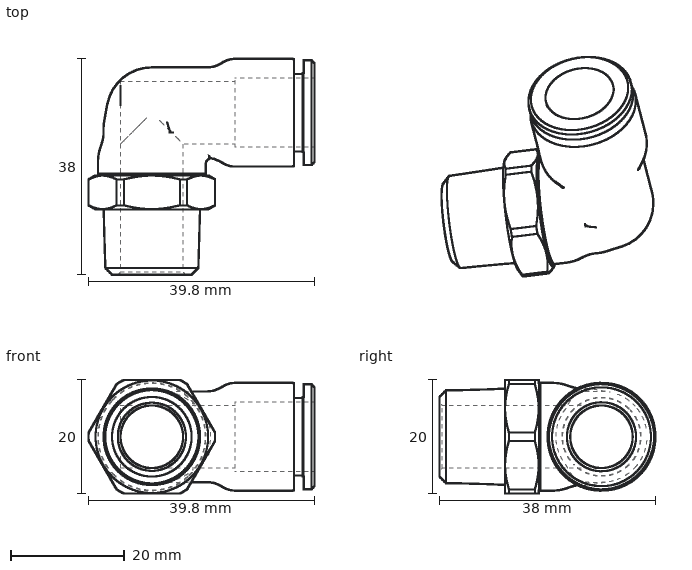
import cadquery as cq
import math


STUD_END_Y = -28.5
STUD_CHAMFER = 1.2
STUD_ROOT_RADIUS = 8.5
STUD_TIP_RADIUS = 8.2
STUD_BORE_DIAMETER = 11.0
STUD_MOUTH_DIAMETER = 12.0
STUD_MOUTH_DEPTH = 0.5

HEX_ACROSS_FLATS = 20.0
HEX_CORNER_DIAMETER = 22.3
HEX_FACE_DIAMETER = 19.8
HEX_CHAMFER_ANGLE = 30.0
HEX_LOWER_Y = -17.0
HEX_UPPER_Y = -11.0

ELBOW_RADIUS = 8.0
ELBOW_CONE_START_Y = 1.44
ELBOW_CONE_END_Y = -1.42
ELBOW_NECK_START_Y = -3.2
ELBOW_NECK_END_Y = -3.45
ELBOW_NECK_RADIUS = 8.5
ELBOW_SKIRT_Y = -8.57
ELBOW_RIM_CHAMFER = 0.3
ELBOW_RIM_DROP = 0.1
ELBOW_FLARE_ANGLE = 20.0
ELBOW_FLARE_HOLLOW_RADIUS = 6.4
ELBOW_FLARE_CROWN_RADIUS = 7.3

ARM_FLAT_DEPTH = 2.25
ARM_CORNER_RADIUS = 4.0
ARM_CREASE_RADIUS = 3.0
ARM_BLEND_RADIUS = 1.0

SOCKET_DIAMETER = 19.0
SOCKET_START_X = 14.64
SOCKET_END_X = 25.0
SOCKET_RIM_CHAMFER = 0.3
SOCKET_RIM_DROP = 0.08
SOCKET_FLARE_ANGLE = 30.0
SOCKET_FLARE_RADIUS = 4.0
TUBE_BORE_DIAMETER = 12.15

COLLET_NECK_DIAMETER = 13.7
COLLET_STEP_DIAMETER = 13.9
COLLET_STEP_X = 26.45
COLLET_FLANGE_DIAMETER = 18.5
COLLET_FLANGE_X = 26.7
COLLET_END_X = 28.6
COLLET_CHAMFER = 0.55

SOCKET_RADIUS = SOCKET_DIAMETER / 2
FLOW_RADIUS = STUD_BORE_DIAMETER / 2

SELECTION_MARGIN = 0.1


def flare_points(low_radius, high_radius, hollow_radius, crown_radius, angle_degrees):
    """Smooth flare, as (distance before its wide end, radius): three-point hollow arc,
    straight cone, three-point crown arc. Both arcs end parallel to the axis."""
    angle = math.radians(angle_degrees)

    def hollow(turn):
        return hollow_radius * math.sin(turn), low_radius + hollow_radius * (1 - math.cos(turn))

    def crown(turn):
        return crown_radius * math.sin(turn), high_radius - crown_radius * (1 - math.cos(turn))

    cone_rise = crown(angle)[1] - hollow(angle)[1]
    length = hollow(angle)[0] + cone_rise / math.tan(angle) + crown(angle)[0]

    def from_wide_end(point):
        return length - point[0], point[1]

    return {
        "start": (length, low_radius),
        "hollow_mid": from_wide_end(hollow(angle / 2)),
        "hollow_end": from_wide_end(hollow(angle)),
        "crown_start": crown(angle),
        "crown_mid": crown(angle / 2),
        "end": (0, high_radius),
    }


def revolve_about_x(profile):
    return profile.close().revolve(360, (0, 0, 0), (1, 0, 0))


def revolve_about_y(profile):
    return profile.close().revolve(360, (0, 0, 0), (0, 1, 0))


def make_elbow():
    """Spherical corner that runs through a cone and a neck into a wide skirt."""
    cone_angle = math.asin(ELBOW_CONE_START_Y / ELBOW_RADIUS)
    cone_start_radius = ELBOW_RADIUS * math.cos(cone_angle)
    cone_length = ELBOW_CONE_START_Y - ELBOW_CONE_END_Y
    cone_end_radius = cone_start_radius + cone_length * math.tan(cone_angle)
    dome_mid = ELBOW_RADIUS * math.sin(math.pi / 4)
    flare = flare_points(
        ELBOW_NECK_RADIUS, SOCKET_RADIUS,
        ELBOW_FLARE_HOLLOW_RADIUS, ELBOW_FLARE_CROWN_RADIUS, ELBOW_FLARE_ANGLE,
    )

    def flare_at(name):
        distance, radius = flare[name]
        return radius, ELBOW_SKIRT_Y + distance

    profile = (
        cq.Workplane("XY")
        .moveTo(0, ELBOW_RADIUS)
        .threePointArc((dome_mid, dome_mid), (cone_start_radius, ELBOW_CONE_START_Y))
        .lineTo(cone_end_radius, ELBOW_CONE_END_Y)
        .tangentArcPoint((ELBOW_NECK_RADIUS, ELBOW_NECK_START_Y), relative=False)
        .lineTo(*flare_at("start"))
        .threePointArc(flare_at("hollow_mid"), flare_at("hollow_end"))
        .lineTo(*flare_at("crown_start"))
        .threePointArc(flare_at("crown_mid"), flare_at("end"))
        .lineTo(SOCKET_RADIUS, HEX_UPPER_Y + ELBOW_RIM_CHAMFER)
        .lineTo(SOCKET_RADIUS - ELBOW_RIM_DROP, HEX_UPPER_Y)
        .lineTo(0, HEX_UPPER_Y)
    )
    return revolve_about_y(profile).rotate((0, 0, 0), (0, 1, 0), 180)


def make_arm():
    """Round arm with square-sided lower shoulders standing just proud of it."""
    shoulder_depth = ARM_FLAT_DEPTH + ARM_CORNER_RADIUS
    shoulders = (
        cq.Workplane("XY")
        .box(SOCKET_START_X, shoulder_depth, 2 * ELBOW_RADIUS, centered=(False, False, True))
        .translate((0, -shoulder_depth, 0))
        .edges("|X and <Y")
        .fillet(ARM_CORNER_RADIUS)
    )
    round_arm = cq.Workplane("YZ").circle(ELBOW_RADIUS).extrude(SOCKET_START_X)
    creases = cq.selectors.BoxSelector(
        (0, -ELBOW_RADIUS, -ELBOW_RADIUS),
        (SOCKET_START_X, -ARM_CORNER_RADIUS, ELBOW_RADIUS),
    )
    return round_arm.union(shoulders).edges("|X").edges(creases).fillet(ARM_CREASE_RADIUS)


def make_arm_with_socket():
    """Arm and tube socket; the coned back of the socket is blended into the arm."""
    flare_angle = math.radians(SOCKET_FLARE_ANGLE)

    def crown(turn):
        return (
            SOCKET_START_X - SOCKET_FLARE_RADIUS * math.sin(turn),
            SOCKET_RADIUS - SOCKET_FLARE_RADIUS * (1 - math.cos(turn)),
        )

    cone_end_x, cone_end_radius = crown(flare_angle)
    cone_start_x = cone_end_x - (cone_end_radius - ELBOW_RADIUS) / math.tan(flare_angle)
    profile = (
        cq.Workplane("XY")
        .moveTo(cone_start_x, 0)
        .lineTo(cone_start_x, ELBOW_RADIUS)
        .lineTo(cone_end_x, cone_end_radius)
        .threePointArc(crown(flare_angle / 2), crown(0))
        .lineTo(SOCKET_END_X - SOCKET_RIM_CHAMFER, SOCKET_RADIUS)
        .lineTo(SOCKET_END_X, SOCKET_RADIUS - SOCKET_RIM_DROP)
        .lineTo(SOCKET_END_X, 0)
    )
    junction = cq.selectors.BoxSelector(
        (cone_start_x - SELECTION_MARGIN, -SOCKET_RADIUS, -SOCKET_RADIUS),
        (cone_end_x - SELECTION_MARGIN, SOCKET_RADIUS, SOCKET_RADIUS),
    )
    joined = make_arm().union(revolve_about_x(profile))
    return joined.edges("not %LINE").edges(junction).fillet(SOCKET_FLARE_RADIUS)


def make_elbow_blend():
    """Lower part of the elbow and arm, below the neck, with a fillet where they cross."""
    block = 2 * SOCKET_END_X
    below_neck = (
        cq.Workplane("XY")
        .box(block, block, block)
        .translate((0, ELBOW_NECK_END_Y - block / 2, 0))
    )
    crossing = cq.selectors.BoxSelector(
        (0, ELBOW_SKIRT_Y, -SOCKET_RADIUS),
        (SOCKET_RADIUS, ELBOW_NECK_END_Y - SELECTION_MARGIN, SOCKET_RADIUS),
    )
    lower = make_elbow().union(make_arm()).intersect(below_neck)
    return lower.edges("%BSPLINE").edges(crossing).fillet(ARM_BLEND_RADIUS)


def make_collet():
    """Release collet: a neck with a chamfered flange at the open end."""
    neck = COLLET_NECK_DIAMETER / 2
    step = COLLET_STEP_DIAMETER / 2
    flange = COLLET_FLANGE_DIAMETER / 2
    profile = (
        cq.Workplane("XY")
        .moveTo(SOCKET_START_X, 0)
        .lineTo(SOCKET_START_X, neck)
        .lineTo(COLLET_STEP_X, neck)
        .lineTo(COLLET_STEP_X, step)
        .lineTo(COLLET_FLANGE_X, step)
        .lineTo(COLLET_FLANGE_X, flange)
        .lineTo(COLLET_END_X - COLLET_CHAMFER, flange)
        .lineTo(COLLET_END_X, flange - COLLET_CHAMFER)
        .lineTo(COLLET_END_X, 0)
    )
    return revolve_about_x(profile)


def make_hexagon():
    """Hexagon with flats facing +Z and -Z, corners turned and both ends chamfered."""
    corner = HEX_CORNER_DIAMETER / 2
    face = HEX_FACE_DIAMETER / 2
    chamfer = (corner - face) * math.tan(math.radians(HEX_CHAMFER_ANGLE))
    sharp_diameter = HEX_ACROSS_FLATS / math.cos(math.pi / 6)
    prism = (
        cq.Workplane("XZ", origin=(0, HEX_UPPER_Y, 0))
        .polygon(6, sharp_diameter)
        .extrude(HEX_UPPER_Y - HEX_LOWER_Y)
    )
    turned = revolve_about_y(
        cq.Workplane("XY")
        .moveTo(0, HEX_UPPER_Y)
        .lineTo(face, HEX_UPPER_Y)
        .lineTo(corner, HEX_UPPER_Y - chamfer)
        .lineTo(corner, HEX_LOWER_Y + chamfer)
        .lineTo(face, HEX_LOWER_Y)
        .lineTo(0, HEX_LOWER_Y)
    )
    return prism.intersect(turned)


def make_stud():
    """Tapered stud with a chamfered tip."""
    profile = (
        cq.Workplane("XY")
        .moveTo(0, HEX_LOWER_Y)
        .lineTo(STUD_ROOT_RADIUS, HEX_LOWER_Y)
        .lineTo(STUD_TIP_RADIUS, STUD_END_Y + STUD_CHAMFER)
        .lineTo(STUD_TIP_RADIUS - STUD_CHAMFER, STUD_END_Y)
        .lineTo(0, STUD_END_Y)
    )
    return revolve_about_y(profile)


def make_stud_bore():
    """Bore up to the crossing of the axes, with a countersunk mouth."""
    profile = (
        cq.Workplane("XY")
        .lineTo(FLOW_RADIUS, 0)
        .lineTo(FLOW_RADIUS, STUD_END_Y + STUD_MOUTH_DEPTH)
        .lineTo(STUD_MOUTH_DIAMETER / 2, STUD_END_Y)
        .lineTo(0, STUD_END_Y)
    )
    return revolve_about_y(profile)


def make_port_bore():
    """Tube seat from the collet end, then the flow bore to the far side of the stud bore."""
    seat_radius = TUBE_BORE_DIAMETER / 2
    profile = (
        cq.Workplane("XY")
        .moveTo(-FLOW_RADIUS, 0)
        .lineTo(-FLOW_RADIUS, FLOW_RADIUS)
        .lineTo(SOCKET_START_X, FLOW_RADIUS)
        .lineTo(SOCKET_START_X, seat_radius)
        .lineTo(COLLET_END_X, seat_radius)
        .lineTo(COLLET_END_X, 0)
    )
    return revolve_about_x(profile)


body = make_elbow().union(make_arm_with_socket()).union(make_elbow_blend())
solid = body.union(make_collet()).union(make_hexagon()).union(make_stud())
result = solid.cut(make_stud_bore()).cut(make_port_bore())